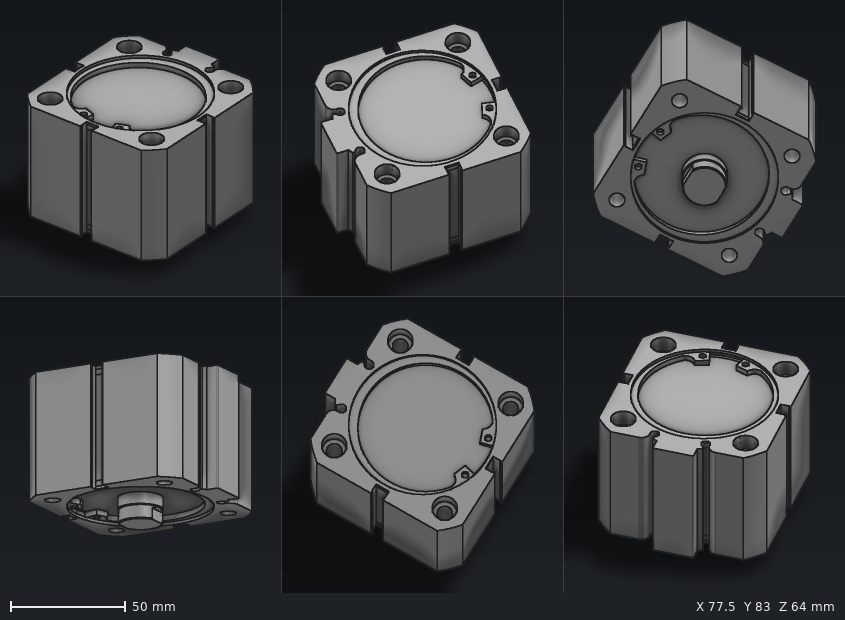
import cadquery as cq
import math

BODY_WIDTH = 77.5
OVERALL_DEPTH = 83.0
BODY_HEIGHT = 56.0
HALF_WIDTH = BODY_WIDTH / 2
CORNER_RADIUS = 49.4

RAIL_TOP = OVERALL_DEPTH - HALF_WIDTH
RAIL_HALF_WIDTH = 9.4
RAIL_EDGE_RADIUS = 0.5

GROOVE_RADIUS = 2.0
GROOVE_X = 11.7
GROOVE_Y = 34.1
GROOVE_LIP_RADIUS = 3.9
TOOTH_X = 11.5
TOOTH_TOP_Y = 37.7

SLOT_FLOOR = 34.0
SLOT_HALF_WIDTH = 3.2
SLOT_MOUTH_HALF_WIDTH = 2.65
SLOT_LIP_DEPTH = 0.9
SLOT_MOUTH_CHAMFER = 0.4

HOLE_OFFSET = 28.1
HOLE_DIAMETER = 6.8
COUNTERBORE_DIAMETER = 10.95
COUNTERBORE_DEPTH = 7.3

BORE_RADIUS = 32.3
RING_INSET = 1.4
RING_THICKNESS = 2.6
RING_WALL = 0.25
RING_RADIUS = SLOT_FLOOR - RING_WALL
COVER_INSET = RING_INSET + RING_THICKNESS
RING_BASES = (RING_INSET, BODY_HEIGHT - COVER_INSET)

RING_INNER_RADIUS = 29.6
RING_INNER_SHIFT = -1.6
LUG_ROOT_X = 17.9
LUG_ROOT = (LUG_ROOT_X, RING_INNER_SHIFT - math.sqrt(RING_INNER_RADIUS**2 - LUG_ROOT_X**2))
LUG_HOLLOW = (15.1, -25.6)
LUG_SHOULDER = (12.1, -23.3)
LUG_CORNER = (6.2, -25.5)
LUG_END_X = 8.1
LUG_END = (LUG_END_X, -math.sqrt(RING_RADIUS**2 - LUG_END_X**2))
LUG_HOLE = (9.9, -27.6)
LUG_HOLE_DIAMETER = 3.0

COVER_THICKNESS = 7.5
HEAD_COVER_BASE = BODY_HEIGHT - COVER_INSET - COVER_THICKNESS

ROD_DIAMETER = 20.0
ROD_RADIUS = ROD_DIAMETER / 2
ROD_OVERHANG = 8.0
ROD_COLLAR = 1.3
NECK_RADIUS = 9.6
NECK_END_CHAMFER = 0.4
FLAT_DISTANCE = 8.5


def mirror(point):
    """Point reflected across the YZ plane."""
    return (-point[0], point[1])


def block():
    """Square block with corners turned to a common radius."""
    square = cq.Workplane("XY").rect(BODY_WIDTH, BODY_WIDTH).extrude(BODY_HEIGHT)
    corner_cylinder = cq.Workplane("XY").circle(CORNER_RADIUS).extrude(BODY_HEIGHT)
    return square.intersect(corner_cylinder)


def rail():
    """Rail that stands proud of the +Y face."""
    depth = RAIL_TOP - GROOVE_Y
    return (
        cq.Workplane("XY")
        .center(0, GROOVE_Y + depth / 2)
        .rect(2 * RAIL_HALF_WIDTH, depth)
        .extrude(BODY_HEIGHT)
        .edges("|Z and >Y")
        .fillet(RAIL_EDGE_RADIUS)
    )


def rail_groove(side):
    """Cutter for the hooked groove on one side of the rail (side is -1 or 1)."""
    diagonal = math.cos(math.radians(45))
    wall_x = GROOVE_X + GROOVE_RADIUS
    lip_x = wall_x + GROOVE_LIP_RADIUS
    lip_y = HALF_WIDTH - GROOVE_LIP_RADIUS
    tangent_x = GROOVE_X - GROOVE_RADIUS * diagonal
    tangent_y = GROOVE_Y + GROOVE_RADIUS * diagonal
    tooth_bottom_y = tangent_y + TOOTH_X - tangent_x
    return (
        cq.Workplane("XY")
        .moveTo(side * RAIL_HALF_WIDTH, HALF_WIDTH)
        .lineTo(side * TOOTH_X, TOOTH_TOP_Y)
        .lineTo(side * TOOTH_X, tooth_bottom_y)
        .lineTo(side * tangent_x, tangent_y)
        .threePointArc(
            (side * GROOVE_X, GROOVE_Y - GROOVE_RADIUS),
            (side * wall_x, GROOVE_Y),
        )
        .lineTo(side * wall_x, lip_y)
        .threePointArc(
            (
                side * (lip_x - GROOVE_LIP_RADIUS * diagonal),
                lip_y + GROOVE_LIP_RADIUS * diagonal,
            ),
            (side * lip_x, HALF_WIDTH),
        )
        .close()
        .extrude(BODY_HEIGHT)
    )


def sensor_slot(angle):
    """Cutter for a lipped slot in the -Y face, turned about Z by angle."""
    lip_y = HALF_WIDTH - SLOT_LIP_DEPTH
    chamfer_y = HALF_WIDTH - SLOT_MOUTH_CHAMFER
    half_outline = [
        (SLOT_HALF_WIDTH, -SLOT_FLOOR),
        (SLOT_HALF_WIDTH, -lip_y),
        (SLOT_MOUTH_HALF_WIDTH, -lip_y),
        (SLOT_MOUTH_HALF_WIDTH, -chamfer_y),
        (SLOT_MOUTH_HALF_WIDTH + SLOT_MOUTH_CHAMFER, -HALF_WIDTH),
    ]
    mirrored = [mirror(point) for point in reversed(half_outline)]
    return (
        cq.Workplane("XY")
        .polyline(half_outline + mirrored)
        .close()
        .extrude(BODY_HEIGHT)
        .rotate((0, 0, 0), (0, 0, 1), angle)
    )


def ring_seat(base):
    """Disc-shaped cutter for a retaining-ring groove."""
    return cq.Workplane("XY", origin=(0, 0, base)).circle(RING_RADIUS).extrude(RING_THICKNESS)


def make_housing():
    """Block with rail, grooves, slots, mounting holes, bore and ring seats."""
    body = block().union(rail())
    for side in (-1, 1):
        body = body.cut(rail_groove(side))
    for angle in (-90, 0, 90):
        body = body.cut(sensor_slot(angle))
    body = (
        body.faces(">Z")
        .workplane(origin=(0, 0, BODY_HEIGHT))
        .rect(2 * HOLE_OFFSET, 2 * HOLE_OFFSET, forConstruction=True)
        .vertices()
        .cboreHole(HOLE_DIAMETER, COUNTERBORE_DIAMETER, COUNTERBORE_DEPTH)
    )
    body = body.cut(cq.Workplane("XY").circle(BORE_RADIUS).extrude(BODY_HEIGHT))
    for base in RING_BASES:
        body = body.cut(ring_seat(base))
    return body


def make_retaining_ring(base):
    """Open ring with its gap and lugs towards -Y."""
    return (
        cq.Workplane("XY", origin=(0, 0, base))
        .moveTo(*LUG_END)
        .threePointArc((0, RING_RADIUS), mirror(LUG_END))
        .lineTo(*mirror(LUG_CORNER))
        .lineTo(*mirror(LUG_SHOULDER))
        .threePointArc(mirror(LUG_HOLLOW), mirror(LUG_ROOT))
        .threePointArc((0, RING_INNER_RADIUS + RING_INNER_SHIFT), LUG_ROOT)
        .threePointArc(LUG_HOLLOW, LUG_SHOULDER)
        .lineTo(*LUG_CORNER)
        .close()
        .pushPoints([LUG_HOLE, mirror(LUG_HOLE)])
        .circle(LUG_HOLE_DIAMETER / 2)
        .extrude(RING_THICKNESS)
    )


def make_head_cover():
    """Plain disc that closes the upper end of the bore."""
    return cq.Workplane("XY", origin=(0, 0, HEAD_COVER_BASE)).circle(BORE_RADIUS).extrude(COVER_THICKNESS)


def make_rod_cover():
    """Disc at the lower end of the bore that guides the rod."""
    return (
        cq.Workplane("XY", origin=(0, 0, COVER_INSET))
        .circle(BORE_RADIUS)
        .circle(ROD_RADIUS)
        .extrude(COVER_THICKNESS)
    )


def make_rod():
    """Rod reaching up to the head cover, with a necked end and two wrench flats."""
    step = ROD_RADIUS - NECK_RADIUS
    profile = [
        (0, -ROD_OVERHANG),
        (NECK_RADIUS - NECK_END_CHAMFER, -ROD_OVERHANG),
        (NECK_RADIUS, -ROD_OVERHANG + NECK_END_CHAMFER),
        (NECK_RADIUS, -ROD_COLLAR - step),
        (ROD_RADIUS, -ROD_COLLAR),
        (ROD_RADIUS, HEAD_COVER_BASE),
        (0, HEAD_COVER_BASE),
    ]
    rod = cq.Workplane("XZ").polyline(profile).close().revolve(360, (0, 0, 0), (0, 1, 0))
    flat_top = -ROD_COLLAR - (ROD_RADIUS - FLAT_DISTANCE)
    for side in (-1, 1):
        flat_cutter = (
            cq.Workplane("YZ")
            .moveTo(side * FLAT_DISTANCE, -ROD_OVERHANG)
            .lineTo(side * FLAT_DISTANCE, flat_top)
            .lineTo(side * ROD_RADIUS, -ROD_COLLAR)
            .lineTo(side * ROD_RADIUS, -ROD_OVERHANG)
            .close()
            .extrude(ROD_RADIUS, both=True)
        )
        rod = rod.cut(flat_cutter)
    return rod


housing = make_housing()
rings = [make_retaining_ring(base) for base in RING_BASES]
head_cover = make_head_cover()
rod_cover = make_rod_cover()
rod = make_rod()

result = cq.Compound.makeCompound(
    [housing.val(), *[ring.val() for ring in rings], head_cover.val(), rod_cover.val(), rod.val()]
)